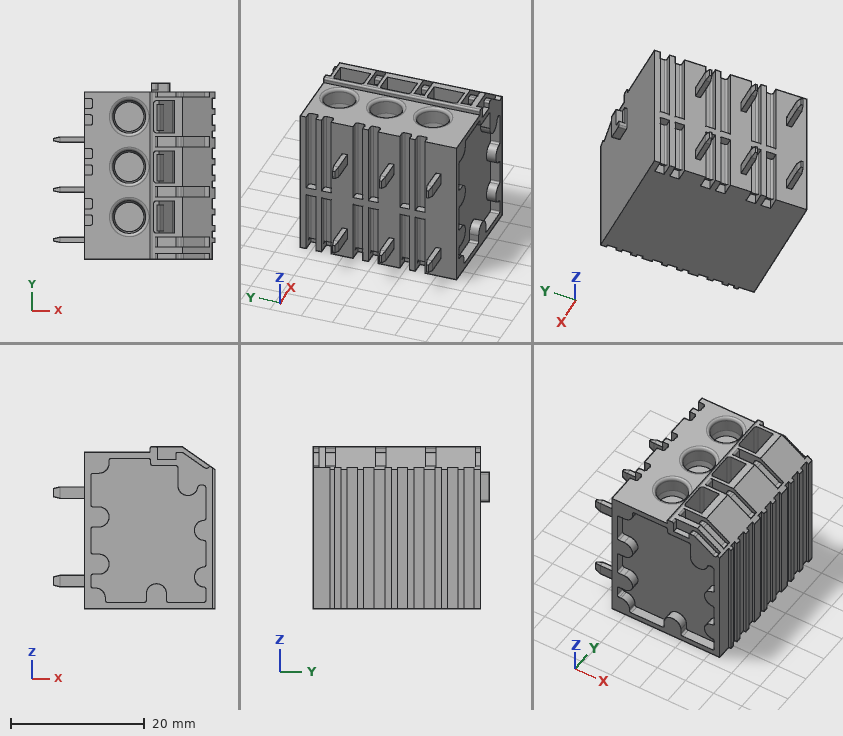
import cadquery as cq
import math


BODY_LENGTH = 25.05
BODY_BACK_X = 19.15
RIB_BACK_X = 19.55
PIN_FACE_TOP_Z = 23.45
RIDGE_TOP_Z = 24.25
RIDGE_START_X = 9.8
RIDGE_END_X = 14.65
SLOPE_END_Z = 20.83
LIP_RADIUS = 0.3
ROOF_SLOPE = (RIDGE_TOP_Z - SLOPE_END_Z) / (RIB_BACK_X - RIDGE_END_X)

POLES = 3
PITCH = 7.5
FIRST_POLE_Y = 6.33
POLE_CENTRES_Y = [FIRST_POLE_Y + PITCH * i for i in range(POLES)]
END_PLATE = 2.5

GROOVE_OFFSETS = (1.99, -0.47)
GROOVE_WIDTH = 1.54
GROOVE_DEPTH = 1.22
GROOVE_CORNER = 0.33
GROOVE_BRIDGE_Z = (9.59, 10.86)
GROOVE_FOOT_Z = 1.2
GROOVE_FOOT_DEPTH = 2.0
GROOVE_FOOT_RISE = 0.7
NARROW_GROOVE_OFFSET = -2.63
NARROW_GROOVE_WIDTH = 0.96

PIN_OFFSET_Y = -3.42
PIN_HEIGHTS = (4.15, 17.38)
PIN_TIP_X = -4.65
PIN_TAPER_X = -3.65
PIN_SIZE = (0.82, 1.76)
PIN_TIP_SIZE = (0.35, 1.25)
PIN_ROOT = 0.5

WELL_X = 6.69
WELL_DIAMETER = 4.9
WELL_FLOOR_DIAMETER = 4.4
WELL_DEPTH = 3.5
WELL_TAPER_HEIGHT = 0.93
WELL_LIP_RADIUS = 0.5

WINDOW_X = (10.33, 13.47)
WINDOW_WIDTH = 4.82
WINDOW_CORNER = 0.45
WINDOW_STEP_X = 13.25
WINDOW_STEP_Z = 20.2
WINDOW_KNEE = (11.85, 15.4)
WINDOW_LEDGE = (11.15, 13.0)
WINDOW_WELL_X = 10.85
WINDOW_WELL_CREASE = (11.33, 13.0)
WINDOW_WELL_Z = 12.0
WINDOW_WELL_WIDTH = 3.9
WINDOW_WELL_SHIFT = -0.13

SLOT_WIDTH = 1.54
SLOT_OFFSET_Y = -3.74
SLOT_X = 10.96
SLOT_STEP_X = 13.68
SLOT_FLOOR_Z = 22.37
SLOT_SHELF_Z = 23.42
SLOT_SLOPE_END_X = 17.96
SLOT_END_X = 18.73
SLOT_END_SAG_X = 18.37
SLOT_END_SAG_Z = 21.03
SLOT_CORNER = 0.3
SLOT_BEND = 0.2
END_SLOT_WIDTH = 0.87

POCKET_DEPTH = 1.5
POCKET_X = (0.97, 18.17)
POCKET_Z = (0.95, 22.5)
POCKET_STEP_X = 9.9
POCKET_STEP_Z = 21.43
POCKET_CORNER = 0.33
BOSS_RADIUS = 1.5
LEFT_BOSSES = ((2.18, 13.74), (2.18, 6.68))
RIGHT_BOSSES = ((17.95, 11.74), (17.95, 4.75))
BOTTOM_BOSS = (10.77, 2.25)
TOP_LEFT_BOSS = (2.18, 21.78)
BOTTOM_LEFT_BOSS = (1.63, 1.6)
TOP_RIGHT_BOSS = (15.48, 18.45)
FINGER_TOP_Z = 18.54
FINGER_CORNER = 0.5

PEG_X = (10.0, 12.77)
PEG_Z = (16.0, 20.43)
PEG_LENGTH = 1.3
PEG_CORNER = 0.28
PEG_NOTCH_X = 11.0
PEG_NOTCH_Z = 17.0
PEG_NOTCH_START = 0.3

CLEAR = 1.0
PICK_SIZE = 0.02


def box(x, y, z):
    """Box between the two limits given for each axis."""
    size = [limits[1] - limits[0] for limits in (x, y, z)]
    return cq.Workplane("XY").box(*size, centered=False).translate((x[0], y[0], z[0]))


def along_y(outline, y_start, length):
    """Extrude an XZ sketch made on an XZ workplane from y_start towards +Y."""
    return outline.extrude(-length).translate((0, y_start, 0))


def span(centre, width):
    return (centre - width / 2, centre + width / 2)


def roof_z(x):
    """Height of the sloping roof."""
    return RIDGE_TOP_Z - ROOF_SLOPE * (x - RIDGE_END_X)


def make_housing():
    outline = (
        cq.Workplane("XZ")
        .moveTo(0, 0)
        .lineTo(0, PIN_FACE_TOP_Z)
        .lineTo(RIDGE_START_X, PIN_FACE_TOP_Z)
        .lineTo(RIDGE_START_X, RIDGE_TOP_Z - LIP_RADIUS)
        .radiusArc((RIDGE_START_X + LIP_RADIUS, RIDGE_TOP_Z), LIP_RADIUS)
        .lineTo(RIDGE_END_X, RIDGE_TOP_Z)
        .lineTo(RIB_BACK_X, SLOPE_END_Z)
        .lineTo(RIB_BACK_X, 0)
        .close()
    )
    return along_y(outline, 0, BODY_LENGTH)


def back_groove(y):
    return box((BODY_BACK_X, RIB_BACK_X + CLEAR), y, (-CLEAR, RIDGE_TOP_Z))


def cut_back_grooves(part):
    part = part.cut(back_groove((-CLEAR, END_PLATE)))
    for pole_y in POLE_CENTRES_Y:
        for offset in GROOVE_OFFSETS:
            part = part.cut(back_groove(span(pole_y + offset, GROOVE_WIDTH)))
        part = part.cut(back_groove(span(pole_y + NARROW_GROOVE_OFFSET, NARROW_GROOVE_WIDTH)))
    return part


def make_front_groove(y):
    """Rounded groove in the pin face, interrupted by a bridge and undercut at the foot."""
    width = span(y, GROOVE_WIDTH)
    groove = box((-CLEAR, GROOVE_DEPTH), width, (-CLEAR, RIDGE_TOP_Z))
    groove = groove.edges("|Z and >X").fillet(GROOVE_CORNER)
    groove = groove.cut(box((-CLEAR, GROOVE_FOOT_DEPTH), width, GROOVE_BRIDGE_Z))

    def ceiling_z(depth):
        return GROOVE_FOOT_Z + GROOVE_FOOT_RISE * (depth - GROOVE_DEPTH)

    foot = cq.Workplane("XZ").polyline([
        (0, -CLEAR),
        (0, ceiling_z(0)),
        (GROOVE_FOOT_DEPTH, ceiling_z(GROOVE_FOOT_DEPTH)),
        (GROOVE_FOOT_DEPTH, -CLEAR),
    ]).close()
    return groove.union(along_y(foot, width[0], GROOVE_WIDTH))


def cut_front_grooves(part):
    for pole_y in POLE_CENTRES_Y:
        for offset in GROOVE_OFFSETS:
            part = part.cut(make_front_groove(pole_y + offset))
    return part


def make_well(y):
    """Revolved screw well: rounded mouth, straight bore and tapered foot."""
    bore = WELL_DIAMETER / 2
    floor_z = PIN_FACE_TOP_Z - WELL_DEPTH
    mouth = bore + WELL_LIP_RADIUS
    profile = (
        cq.Workplane("XZ")
        .moveTo(0, PIN_FACE_TOP_Z)
        .lineTo(mouth, PIN_FACE_TOP_Z)
        .radiusArc((bore, PIN_FACE_TOP_Z - WELL_LIP_RADIUS), -WELL_LIP_RADIUS)
        .lineTo(bore, floor_z + WELL_TAPER_HEIGHT)
        .lineTo(WELL_FLOOR_DIAMETER / 2, floor_z)
        .lineTo(0, floor_z)
        .close()
    )
    return profile.revolve(360, (0, 0, 0), (0, 1, 0)).translate((WELL_X, y, 0))


def make_window(y):
    """Release window: a slanting back wall down to a ledge, with a narrower well below."""
    top_z = RIDGE_TOP_Z + CLEAR
    mouth = cq.Workplane("XZ").polyline([
        (WINDOW_X[0], top_z),
        (WINDOW_X[0], WINDOW_LEDGE[1]),
        WINDOW_LEDGE,
        WINDOW_KNEE,
        (WINDOW_STEP_X, WINDOW_STEP_Z),
        (WINDOW_X[1], WINDOW_STEP_Z),
        (WINDOW_X[1], top_z),
    ]).close()
    mouth = along_y(mouth, y - WINDOW_WIDTH / 2, WINDOW_WIDTH)
    mouth = mouth.edges("|Z and <X").fillet(WINDOW_CORNER)
    well = cq.Workplane("XZ").polyline([
        (WINDOW_WELL_X, WINDOW_WELL_Z),
        (WINDOW_WELL_X, WINDOW_KNEE[1]),
        WINDOW_KNEE,
        WINDOW_WELL_CREASE,
    ]).close()
    well_start = y + WINDOW_WELL_SHIFT - WINDOW_WELL_WIDTH / 2
    return mouth.union(along_y(well, well_start, WINDOW_WELL_WIDTH))


def make_roof_slot(y):
    """Slot across the roof: deep floor, rounded step, then a floor parallel to the slope."""
    top_z = RIDGE_TOP_Z + CLEAR
    slope_end_z = SLOT_SHELF_Z - ROOF_SLOPE * (SLOT_SLOPE_END_X - RIDGE_END_X)
    slope_angle = math.atan(ROOF_SLOPE)
    bend_end = (
        RIDGE_END_X + SLOT_BEND * math.cos(slope_angle),
        SLOT_SHELF_Z - SLOT_BEND * math.sin(slope_angle),
    )
    outline = (
        cq.Workplane("XZ")
        .moveTo(SLOT_X - SLOT_CORNER, top_z)
        .lineTo(SLOT_X - SLOT_CORNER, RIDGE_TOP_Z)
        .radiusArc((SLOT_X, RIDGE_TOP_Z - SLOT_CORNER), SLOT_CORNER)
        .lineTo(SLOT_X, SLOT_FLOOR_Z)
        .lineTo(SLOT_STEP_X, SLOT_FLOOR_Z)
        .lineTo(SLOT_STEP_X, SLOT_SHELF_Z - SLOT_CORNER)
        .radiusArc((SLOT_STEP_X + SLOT_CORNER, SLOT_SHELF_Z), SLOT_CORNER)
        .lineTo(RIDGE_END_X - SLOT_BEND, SLOT_SHELF_Z)
        .tangentArcPoint(bend_end, relative=False)
        .lineTo(SLOT_SLOPE_END_X, slope_end_z)
        .threePointArc((SLOT_END_SAG_X, SLOT_END_SAG_Z), (SLOT_END_X, roof_z(SLOT_END_X)))
        .lineTo(SLOT_END_X, top_z)
        .close()
    )
    return along_y(outline, y[0], y[1] - y[0])


def cut_roof_slots(part):
    part = part.cut(make_roof_slot((-CLEAR, END_SLOT_WIDTH)))
    for i in range(POLES + 1):
        centre = FIRST_POLE_Y + SLOT_OFFSET_Y + PITCH * i
        part = part.cut(make_roof_slot(span(centre, SLOT_WIDTH)))
    return part


def round_corners(solid, corners, radius):
    """Round the edges along Y that pass through the given XZ corners."""
    for x, z in corners:
        near = cq.selectors.BoxSelector(
            (x - PICK_SIZE, -CLEAR, z - PICK_SIZE),
            (x + PICK_SIZE, POCKET_DEPTH + CLEAR, z + PICK_SIZE),
        )
        solid = solid.edges("|Y").edges(near).fillet(radius)
    return solid


def make_end_pocket():
    """Shallow pocket whose edge runs round half-moon bosses level with the end face."""
    depth = (0, POCKET_DEPTH)

    def boss(centre, x, z):
        round_end = along_y(cq.Workplane("XZ").center(*centre).circle(BOSS_RADIUS), 0, POCKET_DEPTH)
        return round_end.union(box(x, depth, z))

    left, right = POCKET_X
    bottom, top = POCKET_Z
    r = BOSS_RADIUS
    pocket = box(POCKET_X, depth, POCKET_Z)
    corners = [(right, bottom)]

    for x, z in LEFT_BOSSES:
        pocket = pocket.cut(boss((x, z), (left - CLEAR, x), span(z, 2 * r)))
        corners += [(left, z - r), (left, z + r)]
    for x, z in RIGHT_BOSSES:
        pocket = pocket.cut(boss((x, z), (x, right + CLEAR), span(z, 2 * r)))
        corners += [(right, z - r), (right, z + r)]

    x, z = BOTTOM_BOSS
    pocket = pocket.cut(boss((x, z), span(x, 2 * r), (bottom - CLEAR, z)))
    corners += [(x - r, bottom), (x + r, bottom)]

    x, z = TOP_LEFT_BOSS
    pocket = pocket.cut(boss((x, z), (left - CLEAR, x), (z - r, top + CLEAR)))
    pocket = pocket.cut(box((left - CLEAR, x + r), depth, (z, top + CLEAR)))
    corners += [(left, z - r), (x + r, top)]

    x, z = BOTTOM_LEFT_BOSS
    pocket = pocket.cut(boss((x, z), (left - CLEAR, x), (bottom - CLEAR, z + r)))
    pocket = pocket.cut(box((left - CLEAR, x + r), depth, (bottom - CLEAR, z)))
    corners += [(left, z + r), (x + r, bottom)]

    x, z = TOP_RIGHT_BOSS
    pocket = pocket.cut(boss((x, z), (x - r, right + CLEAR), (FINGER_TOP_Z, top + CLEAR)))
    pocket = pocket.cut(box((POCKET_STEP_X, right + CLEAR), depth, (POCKET_STEP_Z, top + CLEAR)))
    corners += [(x - r, POCKET_STEP_Z), (POCKET_STEP_X, POCKET_STEP_Z), (POCKET_STEP_X, top)]
    finger_left = x + math.sqrt(r**2 - (FINGER_TOP_Z - z) ** 2)
    finger_corners = [(finger_left, FINGER_TOP_Z), (right, FINGER_TOP_Z)]

    pocket = round_corners(pocket, corners, POCKET_CORNER)
    return round_corners(pocket, finger_corners, FINGER_CORNER)


def add_pins(part):
    for pole_y in POLE_CENTRES_Y:
        for z in PIN_HEIGHTS:
            tip = (
                cq.Workplane("YZ", origin=(PIN_TIP_X, pole_y + PIN_OFFSET_Y, z))
                .rect(*PIN_TIP_SIZE)
                .workplane(offset=PIN_TAPER_X - PIN_TIP_X)
                .rect(*PIN_SIZE)
                .loft(ruled=True)
            )
            shank = tip.faces(">X").workplane().rect(*PIN_SIZE).extrude(PIN_ROOT - PIN_TAPER_X)
            part = part.union(shank)
    return part


def add_peg(part):
    start = BODY_LENGTH
    end = start + PEG_LENGTH
    peg = box(PEG_X, (start, end), PEG_Z).edges("|Y").fillet(PEG_CORNER)
    notch = box(
        (PEG_X[0] - CLEAR, PEG_NOTCH_X),
        (start + PEG_NOTCH_START, end + CLEAR),
        (PEG_NOTCH_Z, PEG_Z[1] + CLEAR),
    )
    notch = notch.edges("|Y and >X and <Z").fillet(PEG_CORNER)
    return part.union(peg.cut(notch))


result = make_housing()
result = cut_back_grooves(result)
result = cut_front_grooves(result)
result = cut_roof_slots(result)
for centre_y in POLE_CENTRES_Y:
    result = result.cut(make_well(centre_y))
    result = result.cut(make_window(centre_y))
result = result.cut(make_end_pocket())
result = add_pins(result)
result = add_peg(result)